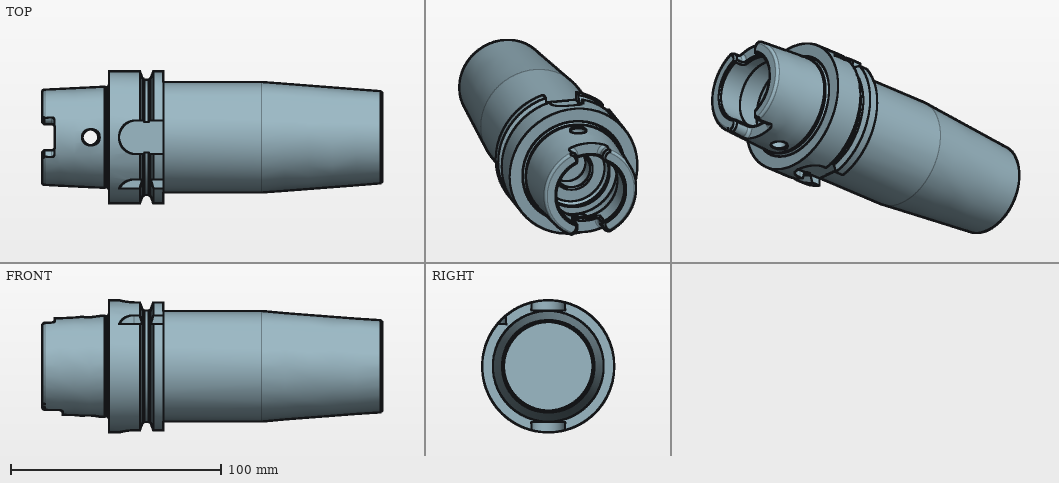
import cadquery as cq
import math


total_length = 162.0
body_radius = 26.4
nose_start = 104.5
nose_end_radius = 22.0
nose_chamfer = 1.0

shank_mouth_radius = 22.7
shank_end = 29.6
shank_slope = 1 / 20
shank_end_radius = shank_mouth_radius + shank_slope * shank_end
shank_mouth_fillet = 1.3

relief_depth = 0.3
relief_ramp_start = 31.0
relief_neck_radius = shank_end_radius - relief_depth
relief_face_radius = 25.3

flange_radius = 31.51
flange_start = 31.8
flange_end = 57.7
groove_center = 49.7
groove_floor_radius = 27.5
groove_floor_half_width = 1.0
groove_bevel_radius = 28.2
groove_bevel_half_width = 2.0
groove_mouth_half_width = 3.2

bore_radius = 16.7
bore_mouth_chamfer = 0.8
bore_lip_end = 13.3
undercut_radius = 20.1
undercut_end = 27.5
bore_bottom = 32.4
bore_bottom_radius = 15.4
bottom_cone_length = 2.5
coolant_radius = 8.6
coolant_chamfer = 1.0
coolant_depth = 9.7

drive_half_width = 6.2
drive_corner_radius = 3.9
drive_corner_height = 17.0
drive_floor_fillet = 1.5
drive_mouth_chamfer = 1.1
upper_drive_depth = 6.0
lower_drive_depth = 9.7

access_x = 23.0
access_radius = 3.7
access_chamfer = 0.5
access_chamfer_height = shank_mouth_radius + shank_slope * access_x

cutter_radius = 8.02
key_start = 36.6
key_floor_height = 26.5
notch_wall = 20.1
notch_center_x = 43.7

clearance = 3.2
reach = flange_radius + clearance

seam_margin = 1.6
tolerance = 0.02


def outer_body():
    fillet_tip = shank_mouth_radius + shank_slope * shank_mouth_fillet
    fillet_start_radius = fillet_tip - shank_mouth_fillet
    fillet_leg = shank_mouth_fillet * math.sqrt(0.5)
    groove_left = groove_center - groove_mouth_half_width
    groove_right = groove_center + groove_mouth_half_width
    return (
        cq.Workplane("XY")
        .lineTo(0, fillet_start_radius)
        .threePointArc(
            (shank_mouth_fillet - fillet_leg, fillet_start_radius + fillet_leg),
            (shank_mouth_fillet, fillet_tip),
        )
        .lineTo(shank_end, shank_end_radius)
        .lineTo(shank_end + relief_depth, relief_neck_radius)
        .lineTo(relief_ramp_start, relief_neck_radius)
        .lineTo(flange_start + relief_depth, relief_face_radius - relief_depth)
        .lineTo(flange_start, relief_face_radius)
        .lineTo(flange_start, flange_radius)
        .lineTo(groove_left, flange_radius)
        .lineTo(groove_center - groove_bevel_half_width, groove_bevel_radius)
        .lineTo(groove_center - groove_floor_half_width, groove_floor_radius)
        .lineTo(groove_center + groove_floor_half_width, groove_floor_radius)
        .lineTo(groove_center + groove_bevel_half_width, groove_bevel_radius)
        .lineTo(groove_right, flange_radius)
        .lineTo(flange_end, flange_radius)
        .lineTo(flange_end, body_radius)
        .lineTo(nose_start, body_radius)
        .lineTo(total_length - nose_chamfer, nose_end_radius)
        .lineTo(total_length, nose_end_radius - nose_chamfer)
        .lineTo(total_length, 0)
        .close()
        .revolve(360, (0, 0, 0), (1, 0, 0))
    )


def clamping_bore():
    return (
        cq.Workplane("XY")
        .lineTo(0, bore_radius)
        .lineTo(bore_lip_end, bore_radius)
        .lineTo(bore_lip_end, undercut_radius)
        .lineTo(undercut_end, undercut_radius)
        .lineTo(undercut_end, bore_radius)
        .lineTo(bore_bottom - bottom_cone_length, bore_radius)
        .lineTo(bore_bottom, bore_bottom_radius)
        .lineTo(bore_bottom, coolant_radius + coolant_chamfer)
        .lineTo(bore_bottom + coolant_chamfer, coolant_radius)
        .lineTo(bore_bottom + coolant_depth, coolant_radius)
        .lineTo(bore_bottom + coolant_depth, 0)
        .close()
        .revolve(360, (0, 0, 0), (1, 0, 0))
    )


def drive_slot_outline(start_x):
    """Slot section in the YZ plane, flaring outwards over rounded prong corners."""
    corner_leg = drive_corner_radius * (1 - math.sqrt(0.5))
    corner_top = drive_corner_height + drive_corner_radius
    corner_mid = corner_top - corner_leg
    flare = drive_half_width + drive_corner_radius
    return (
        cq.Workplane("YZ", origin=(start_x, 0, 0))
        .moveTo(-drive_half_width, 0)
        .lineTo(drive_half_width, 0)
        .lineTo(drive_half_width, drive_corner_height)
        .threePointArc((drive_half_width + corner_leg, corner_mid), (flare, corner_top))
        .lineTo(reach, corner_top)
        .lineTo(reach, reach)
        .lineTo(-reach, reach)
        .lineTo(-reach, corner_top)
        .lineTo(-flare, corner_top)
        .threePointArc((-drive_half_width - corner_leg, corner_mid), (-drive_half_width, drive_corner_height))
        .close()
    )


def drive_slot(depth):
    return (
        drive_slot_outline(-clearance)
        .extrude(clearance + depth)
        .faces(">X")
        .edges()
        .fillet(drive_floor_fillet)
    )


def drive_slot_mouth():
    """Bevel that widens a drive slot towards the end face of the shank."""
    return (
        drive_slot_outline(0)
        .offset2D(drive_mouth_chamfer)
        .extrude(drive_mouth_chamfer, taper=45)
    )


def access_hole():
    """Countersunk hole along Z through both walls of the shank."""
    sink_start = access_chamfer_height - access_chamfer
    sink_end = access_chamfer_height + access_chamfer
    sink_radius = access_radius + 2 * access_chamfer
    return (
        cq.Workplane("YZ", origin=(access_x, 0, 0))
        .moveTo(0, -sink_end)
        .lineTo(sink_radius, -sink_end)
        .lineTo(access_radius, -sink_start)
        .lineTo(access_radius, sink_start)
        .lineTo(sink_radius, sink_end)
        .lineTo(0, sink_end)
        .close()
        .revolve(360, (0, 0, 0), (0, 1, 0))
    )


def key_slot():
    """Round-ended flat across the flange rim, open towards the nose."""
    center_x = key_start + cutter_radius
    height = reach - key_floor_height
    plane = cq.Workplane("XY", origin=(0, 0, key_floor_height))
    run = (
        plane.moveTo(center_x, -cutter_radius)
        .lineTo(flange_end, -cutter_radius)
        .lineTo(flange_end, cutter_radius)
        .lineTo(center_x, cutter_radius)
        .threePointArc((key_start, 0), (center_x, -cutter_radius))
        .close()
    )
    return run.extrude(height)


def coding_notch():
    """L-shaped notch at 45 degrees between -Y and +Z, with a cutter-round end."""
    center_y = -notch_wall - cutter_radius
    return (
        cq.Workplane("XY", origin=(0, 0, notch_wall))
        .moveTo(notch_center_x, -notch_wall)
        .lineTo(flange_end, -notch_wall)
        .lineTo(flange_end, center_y)
        .lineTo(notch_center_x - cutter_radius, center_y)
        .threePointArc(
            (notch_center_x - cutter_radius * math.sqrt(0.5), center_y + cutter_radius * math.sqrt(0.5)),
            (notch_center_x, -notch_wall),
        )
        .close()
        .extrude(reach - notch_wall)
    )


def flipped(cutter):
    """The same cutter on the opposite (-Z) side."""
    return cutter.rotate((0, 0, 0), (1, 0, 0), 180)


def on_bore_wall(edge):
    middle = edge.positionAt(0.5)
    return math.hypot(middle.y, middle.z) < bore_radius + tolerance


def bevel_bore_mouth(body):
    """Chamfer the bore where it meets the shank mouth and the drive slots."""
    side_limit = bore_radius - seam_margin
    mouth_zone = cq.selectors.BoxSelector(
        (-clearance, -side_limit, -bore_radius),
        (lower_drive_depth + tolerance, side_limit, bore_radius),
    )
    edges = [edge for edge in body.edges(mouth_zone).vals() if on_bore_wall(edge)]
    return body.newObject(edges).chamfer(bore_mouth_chamfer)


shank_open = (
    outer_body()
    .cut(clamping_bore())
    .cut(drive_slot(upper_drive_depth))
    .cut(flipped(drive_slot(lower_drive_depth)))
)
result = (
    bevel_bore_mouth(shank_open)
    .cut(drive_slot_mouth())
    .cut(flipped(drive_slot_mouth()))
    .cut(access_hole())
    .cut(key_slot())
    .cut(flipped(key_slot()))
    .cut(coding_notch())
)